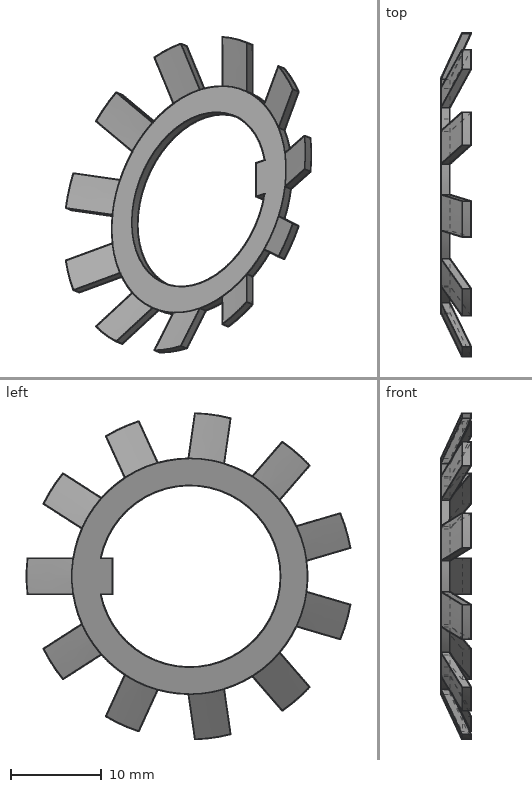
import math

import cadquery as cq

bore_radius = 10.0
ring_radius = 13.0
tip_radius = 18.0
thickness = 1.0

tab_count = 11
tab_width = 4.0
tab_lean_deg = 25.0
key_inner_radius = 8.5

tab_rise = (tip_radius - ring_radius) * math.tan(math.radians(tab_lean_deg))
tab_root_radius = (bore_radius + ring_radius) / 2
strip_overshoot = 1.0


def make_ring():
    """Flat ring with a round bore."""
    return cq.Workplane("YZ").circle(ring_radius).circle(bore_radius).extrude(thickness)


def make_cone_skirt():
    """Full conical skirt around the ring, of constant thickness along X."""
    profile = [
        (0, ring_radius),
        (tab_rise, tip_radius),
        (tab_rise + thickness, tip_radius),
        (thickness, ring_radius),
    ]
    return cq.Workplane("XY").polyline(profile).close().revolve(360, (0, 0, 0), (1, 0, 0))


def make_strip(inner, outer, depth):
    """Radial bar along +Y, one tab wide, rising from X = 0."""
    bar = cq.Workplane("XY").box(depth, outer - inner, tab_width, centered=(False, False, True))
    return bar.translate((0, inner, 0))


def make_outer_tab():
    """Parallel-sided leaning tab on the +Y side, cut from the conical skirt."""
    strip = make_strip(tab_root_radius, tip_radius + strip_overshoot, tab_rise + thickness)
    return make_cone_skirt().intersect(strip)


def make_inner_key():
    """Flat key reaching from the ring into the bore on the +Y side."""
    return make_strip(key_inner_radius, tab_root_radius, thickness)


result = make_ring().union(make_inner_key())

outer_tab = make_outer_tab()
for index in range(tab_count):
    angle = index * 360 / tab_count
    result = result.union(outer_tab.rotate((0, 0, 0), (1, 0, 0), angle))